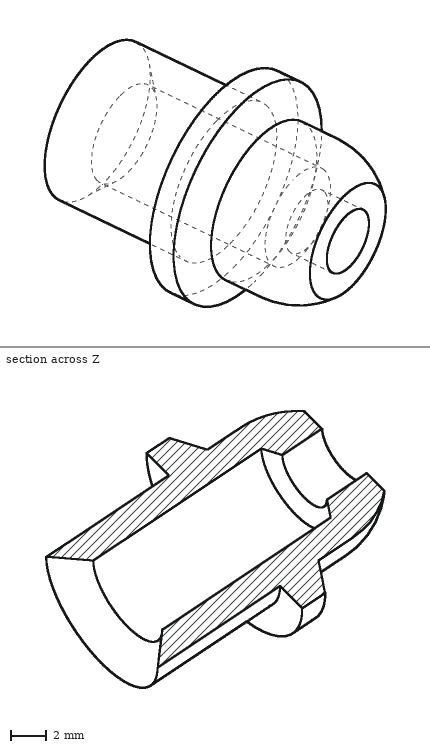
import cadquery as cq
import math

length = 17.8
body_radius = 5.0
flange_diameter = 14.0
flange_start = 8.99
flange_thickness = 1.69
flange_cone_angle = 30.0
nose_end_radius = 3.6
bore_radius = 3.1
exit_hole_radius = 2.0
bore_end = 14.24
bore_tip_angle = 120.0

flange_radius = flange_diameter / 2
flange_end = flange_start + flange_thickness
cone_run = (flange_radius - body_radius) * math.tan(math.radians(flange_cone_angle))
cone_end = flange_end + cone_run
nose_start = length - math.sqrt(body_radius**2 - nose_end_radius**2)
nose_mid_angle = math.asin((length - nose_start) / body_radius) / 2
countersink_depth = body_radius - bore_radius
bore_tip_run = (bore_radius - exit_hole_radius) / math.tan(math.radians(bore_tip_angle / 2))
bore_tip_end = bore_end + bore_tip_run


def make_body():
    """Flanged body with a spherical nose cut flat at the +X end."""
    nose_mid = (
        nose_start + body_radius * math.sin(nose_mid_angle),
        body_radius * math.cos(nose_mid_angle),
    )
    profile = (
        cq.Workplane("XY")
        .lineTo(0, body_radius)
        .lineTo(flange_start, body_radius)
        .lineTo(flange_start, flange_radius)
        .lineTo(flange_end, flange_radius)
        .lineTo(cone_end, body_radius)
        .lineTo(nose_start, body_radius)
        .threePointArc(nose_mid, (length, nose_end_radius))
        .lineTo(length, 0)
        .close()
    )
    return profile.revolve(360, (0, 0, 0), (1, 0, 0))


def make_bore():
    """Through bore: countersunk to a sharp rim, then a drill-tip cone down to the exit hole."""
    profile = (
        cq.Workplane("XY")
        .lineTo(0, body_radius)
        .lineTo(countersink_depth, bore_radius)
        .lineTo(bore_end, bore_radius)
        .lineTo(bore_tip_end, exit_hole_radius)
        .lineTo(length, exit_hole_radius)
        .lineTo(length, 0)
        .close()
    )
    return profile.revolve(360, (0, 0, 0), (1, 0, 0))


result = make_body().cut(make_bore())